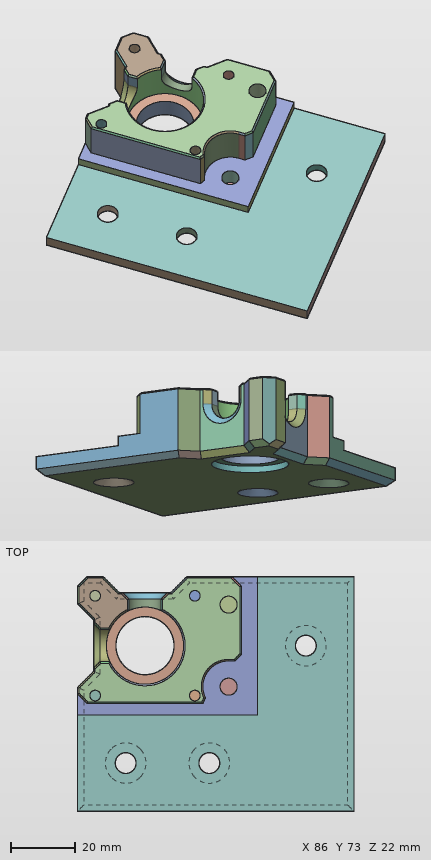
import cadquery as cq
import math


base_top = 6.0
step_top = 9.0
block_top = 22.0

base_length = 86.0
base_width = 73.0
left = -21.0
back = 21.5
right = left + base_length
front = back - base_width
corner_cut = 3.0
bottom_chamfer = 2.0

notch_depth = 5.0
notch_half_floor = 8.0
notch_half_mouth = notch_half_floor + notch_depth
left_notch_x = left + notch_depth
back_notch_y = back - notch_depth

block_right = 30.0
block_front = -18.0
block_right_cut = 2.0
top_chamfer = 0.5
step_margin = 5.0
step_right = block_right + step_margin
step_front = -back

bolt_diameter = 5.3
bolt_x = 26.0
bolt_half_spacing = 12.75
relief_radius = 8.0
relief_end_x = 18.8
relief_foot_x = 18.0
blind_floor = 3.0

bore_diameter = 24.0
bore_floor = 9.0
through_diameter = 18.0
recess_diameter = 24.0
recess_depth = 2.0
channel_radius = 5.0
channel_axis_height = 17.0
channel_flare = 2.0

screw_diameter = 3.3
screw_half_spacing = 15.5
screw_depth = 12.0

mount_diameter = 6.4
countersink_depth = 3.1
countersink_diameter = 12.6
mount_inset = 15.0
mount_spacing = 26.0


def notched_corner_points():
    """Left and back outline, from the left notch round to the end of the back notch."""
    return [
        (left, -notch_half_mouth),
        (left_notch_x, -notch_half_floor),
        (left_notch_x, notch_half_floor),
        (left, notch_half_mouth),
        (left, back),
        (-notch_half_mouth, back),
        (-notch_half_floor, back_notch_y),
        (notch_half_floor, back_notch_y),
        (notch_half_mouth, back),
    ]


def make_plate(right_x, front_y, bottom, top):
    """Rectangular plate sharing the notched left and back outline."""
    outline = notched_corner_points() + [(right_x, back), (right_x, front_y), (left, front_y)]
    return (
        cq.Workplane("XY", origin=(0, 0, bottom))
        .polyline(outline)
        .close()
        .extrude(top - bottom)
    )


def make_corner_cutter():
    """Upright wedge that bevels the left back corner over the full height."""
    return (
        cq.Workplane("XY")
        .polyline([(left, back), (left, back - corner_cut), (left + corner_cut, back)])
        .close()
        .extrude(block_top)
    )


def make_block():
    """Tall block with the notched outline and the bolt relief in its front right corner."""
    relief_top = -bolt_half_spacing + relief_radius
    relief_end_y = -bolt_half_spacing - math.sqrt(relief_radius**2 - (bolt_x - relief_end_x)**2)
    lead_in = [
        (left + corner_cut, block_front),
        (left, block_front + corner_cut),
    ]
    right_side = [
        (block_right - corner_cut, back),
        (block_right, back - corner_cut),
        (block_right, relief_top + block_right_cut),
        (block_right - block_right_cut, relief_top),
        (bolt_x, relief_top),
    ]
    return (
        cq.Workplane("XY", origin=(0, 0, step_top))
        .polyline(lead_in + notched_corner_points() + right_side)
        .threePointArc((bolt_x - relief_radius, -bolt_half_spacing), (relief_end_x, relief_end_y))
        .lineTo(relief_foot_x, block_front)
        .close()
        .extrude(block_top - step_top)
    )


def make_channel(mouth_y):
    """Open-topped U channel running along Y from the bore axis to its flared mouth."""
    mouth_radius = channel_radius + channel_flare
    flare_start = mouth_y - channel_flare
    half_plan = [
        (channel_radius, 0),
        (channel_radius, flare_start),
        (mouth_radius, mouth_y),
    ]
    rounded_floor = (
        cq.Workplane("XY")
        .polyline([(0, 0)] + half_plan + [(0, mouth_y)])
        .close()
        .revolve(360, (0, 0, 0), (0, 1, 0))
    )
    mirrored_half = [(-x, y) for x, y in reversed(half_plan)]
    open_top = (
        cq.Workplane("XY")
        .polyline(half_plan + mirrored_half)
        .close()
        .extrude(block_top - channel_axis_height)
    )
    return rounded_floor.union(open_top).translate((0, 0, channel_axis_height))


def hole(x, y, diameter, floor):
    """Round cutter from the given floor height up through the top of the block."""
    return (
        cq.Workplane("XY", origin=(x, y, floor))
        .circle(diameter / 2)
        .extrude(block_top - floor)
    )


def countersink(x, y):
    """Cone that opens a mounting hole towards the underside."""
    cone = cq.Solid.makeCone(countersink_diameter / 2, mount_diameter / 2, countersink_depth)
    return cq.Workplane("XY").add(cone).translate((x, y, 0))


corner_cutter = make_corner_cutter()

block = make_block().cut(corner_cutter).cut(hole(0, 0, bore_diameter, bore_floor))
back_channel = make_channel(back_notch_y)
left_channel = make_channel(-left_notch_x).rotate((0, 0, 0), (0, 0, 1), 90)
block = block.cut(back_channel).cut(left_channel)
block = block.faces(">Z").edges().chamfer(top_chamfer)

base = make_plate(right, front, 0, base_top).faces("<Z").edges().chamfer(bottom_chamfer)
step = make_plate(step_right, step_front, base_top, step_top)
result = base.union(step).cut(corner_cutter).union(block)

result = result.cut(hole(0, 0, through_diameter, 0))
result = result.cut(cq.Workplane("XY").circle(recess_diameter / 2).extrude(recess_depth))

for x in (-screw_half_spacing, screw_half_spacing):
    for y in (-screw_half_spacing, screw_half_spacing):
        result = result.cut(hole(x, y, screw_diameter, block_top - screw_depth))

for y in (-bolt_half_spacing, bolt_half_spacing):
    result = result.cut(hole(bolt_x, y, bolt_diameter, blind_floor))

mount_points = [
    (left + mount_inset, front + mount_inset),
    (left + mount_inset + mount_spacing, front + mount_inset),
    (right - mount_inset, 0),
]
for x, y in mount_points:
    result = result.cut(hole(x, y, mount_diameter, 0)).cut(countersink(x, y))